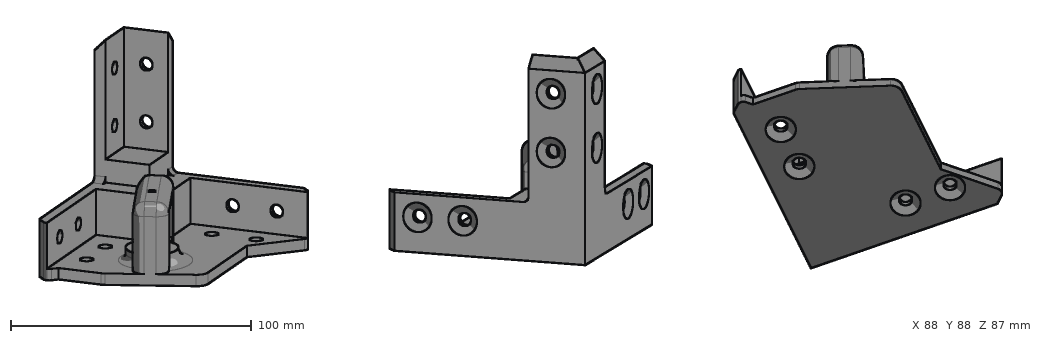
import cadquery as cq
import math


arm = 88.0
height = 87.0
thick = 5.0
band = 25.0
block = 35.0
tip_chamfer = 3.9
tip_flat_end = 6.1
tip_round = 2.5
plate_right = 69.0
plate_front = 85.0
slant_start = 29.2
slant = 20.0
plate_round = 5.0
inner_round = 2.5

hole_diameter = 5.5
sink_diameter = 12.6
sink_depth = 2.5
hole_offset = 15.0
low_holes = (54.0, 74.0)
high_holes = (47.0, 72.0)
floor_holes = (48.9, 69.0)

handle_x = 40.5
handle_y = -59.3
handle_width = 15.0
handle_shift = 0.3
handle_top = 35.0
handle_round = 5.0
rear_end = 24.6
rear_inner = 14.95
rear_round = 2.2
boss_radius = 11.0
boss_top = 10.55
flare_large = 6.0
flare_small = 3.0
neck_round = 3.0
pin_diameter = 3.1
clear_x = 29.0
clear_y = -54.9

slant_rise = (plate_right - slant_start) * math.tan(math.radians(slant))
slant_end_y = slant_rise - plate_front
front_end = (
    (slant_start - handle_x) * math.sin(math.radians(slant))
    + (handle_y + plate_front) * math.cos(math.radians(slant))
)
handle_low = handle_shift - handle_width / 2
handle_high = handle_shift + handle_width / 2


def box(x0, x1, y0, y1, z0, z1):
    return cq.Workplane("XY").box(x1 - x0, y1 - y0, z1 - z0, centered=False).translate((x0, y0, z0))


def footprint(depth):
    """Plate outline with rounded corners, extruded upward."""
    tip_run = arm - plate_front
    points = [
        (0, 0),
        (arm - tip_chamfer, 0),
        (arm, -tip_chamfer),
        (arm, -tip_flat_end),
        (plate_right, -tip_flat_end - (arm - plate_right)),
        (plate_right, slant_end_y),
        (slant_start, -plate_front),
        (tip_flat_end + tip_run, -plate_front),
        (tip_flat_end, -arm),
        (tip_chamfer, -arm),
        (0, tip_chamfer - arm),
    ]
    body = cq.Workplane("XY").polyline(points).close().extrude(depth)

    def round_corners(solid, corners, radius):
        for x, y in corners:
            solid = solid.edges(cq.NearestToPointSelector((x, y, depth / 2))).fillet(radius)
        return solid

    body = round_corners(body, points[2:4] + points[8:10], tip_round)
    return round_corners(body, points[5:7], plate_round)


def upright_wall(plane, direction):
    """Upright wall with a fillet at its foot and a top that slopes down to the outer face.

    The direction is the sign of the plane's horizontal axis along which the wall runs.
    """
    foot = direction * (band + inner_round)
    wall = (
        cq.Workplane(plane)
        .lineTo(foot, 0)
        .lineTo(foot, band)
        .radiusArc((direction * band, band + inner_round), direction * inner_round)
        .lineTo(direction * band, height)
        .lineTo(0, height)
        .close()
    )
    return wall.extrude(thick)


def top_bevel(plane, direction):
    """Wedge removed from the top of the upright corner, along one outer face."""
    corners = [(0, height - thick), (direction * thick, height), (0, height)]
    return cq.Workplane(plane).polyline(corners).close().extrude(band)


def bracket():
    low_walls = footprint(band).intersect(
        box(0, thick, -arm, 0, 0, band).union(box(0, arm, -thick, 0, 0, band))
    )
    body = footprint(thick).union(low_walls)
    body = body.union(upright_wall("YZ", -1))
    body = body.union(upright_wall("XZ", 1))
    for length_x, length_y, length_z in ((band, band, block), (block, band, band), (band, block, band)):
        body = body.union(box(0, length_x, -length_y, 0, 0, length_z))
    return body.cut(top_bevel("XZ", 1)).cut(top_bevel("YZ", -1))


def screw_hole(point, direction):
    """Countersunk hole entering from an outer face."""
    start = cq.Vector(*point)
    axis = cq.Vector(*direction)
    shaft = cq.Solid.makeCylinder(hole_diameter / 2, thick, start, axis)
    sink = cq.Solid.makeCone(sink_diameter / 2, hole_diameter / 2, sink_depth, start, axis)
    return cq.Workplane(shaft).union(cq.Workplane(sink))


def screw_holes(body):
    wall_holes = [(reach, hole_offset) for reach in low_holes] + [(hole_offset, z) for z in high_holes]
    for side, level in wall_holes:
        body = body.cut(screw_hole((0, -side, level), (1, 0, 0)))
        body = body.cut(screw_hole((side, 0, level), (0, -1, 0)))
    for reach in floor_holes:
        body = body.cut(screw_hole((hole_offset, -reach, 0), (0, 0, 1)))
        body = body.cut(screw_hole((reach, -hole_offset, 0), (0, 0, 1)))
    return body


def handle_bar():
    """Solid handle block with a large rounding along its top and front and a small one at its rear end."""
    bar = box(handle_low, handle_high, -front_end, rear_end, thick, handle_top)
    bar = bar.edges("(|Z and <Y) or (>Z and (not >Y))").fillet(handle_round)
    return bar.faces(">Y").edges("not <Z").fillet(rear_round)


def flare(radius, angle):
    """Half ring of concave fillet around the foot of the boss."""
    top = min(boss_top, thick + radius)
    drop = thick + radius - top
    top_r = boss_radius + radius - math.sqrt(radius**2 - drop**2)
    return (
        cq.Workplane("XZ")
        .moveTo(0, thick)
        .lineTo(boss_radius + radius, thick)
        .radiusArc((top_r, top), radius)
        .lineTo(0, top)
        .close()
        .revolve(180, (0, 0), (0, 1))
        .rotate((0, 0, 0), (0, 0, 1), angle)
    )


def handle():
    bar = handle_bar()
    window_height = handle_top - handle_round - boss_top
    window = cq.Workplane("XY").workplane(offset=boss_top).circle(boss_radius).extrude(window_height)
    passage = box(-boss_radius, boss_radius, 0, rear_inner, boss_top, boss_top + window_height)
    bar = bar.cut(window).cut(passage)

    boss_height = boss_top - thick
    boss = cq.Workplane("XY").workplane(offset=thick).circle(boss_radius).extrude(boss_height)
    boss = boss.union(box(handle_low, handle_high, 0, rear_inner, thick, boss_top))
    for u in (handle_low, handle_high):
        v = math.sqrt(boss_radius**2 - u**2)
        boss = boss.edges(cq.NearestToPointSelector((u, v, thick + boss_height / 2))).fillet(neck_round)

    body = bar.union(boss)
    body = body.union(flare(flare_large, -90)).union(flare(flare_small, 90))
    pin = cq.Workplane("XY").workplane(offset=thick).circle(pin_diameter / 2).extrude(handle_top - thick)
    body = body.cut(pin)
    body = body.rotate((0, 0, 0), (0, 0, 1), slant).translate((handle_x, handle_y, 0))
    return body.cut(box(0, clear_x, clear_y, 0, 0, handle_top))


result = screw_holes(bracket()).union(handle())